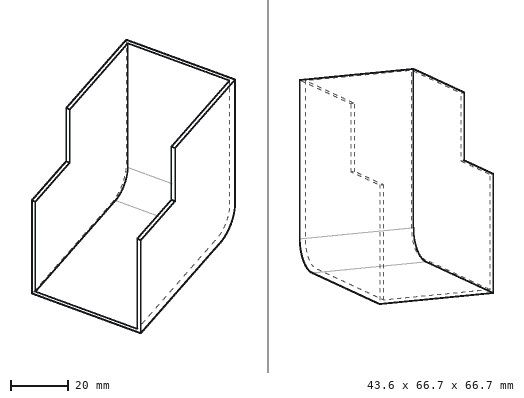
import cadquery as cq

width = 43.6
length = 66.7
leg_depth = 42.5
wall = 1.5
outer_radius = 10.15

half = length / 2
inner_radius = outer_radius - wall
step = leg_depth - half


def elbow_sides():
    """Solid L-shaped elbow, extruded symmetrically along X."""
    return (
        cq.Workplane("YZ")
        .moveTo(-half, -half)
        .lineTo(half, -half)
        .lineTo(half, half)
        .lineTo(half - leg_depth, half)
        .lineTo(-step, step)
        .lineTo(-half, step)
        .close()
        .extrude(width / 2, both=True)
        .edges("|X and >Y and <Z")
        .fillet(outer_radius)
    )


def channel_space():
    """Space between the side walls, open at -Y and +Z and at the inside corner."""
    span = length - wall
    return (
        cq.Workplane("YZ")
        .center(-wall / 2, wall / 2)
        .rect(span, span)
        .extrude(width / 2 - wall, both=True)
        .edges("|X and >Y and <Z")
        .fillet(inner_radius)
    )


result = elbow_sides().cut(channel_space())